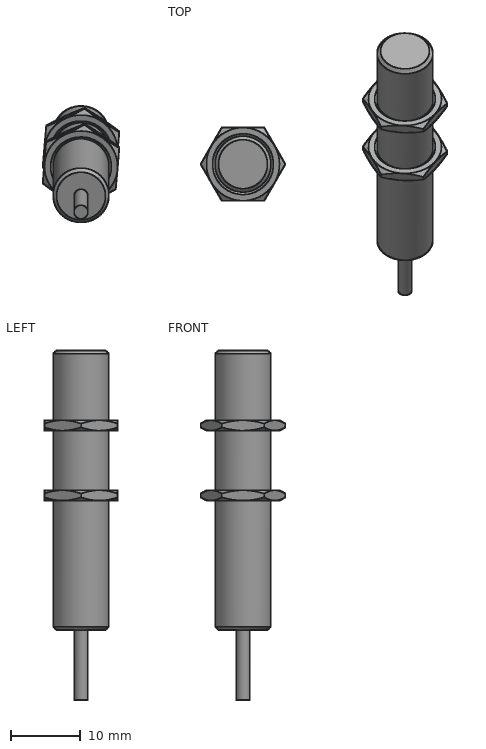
import cadquery as cq
import math

total_length = 50.0
cable_length = 10.0
cable_diameter = 2.0
barrel_diameter = 8.0
barrel_chamfer = 0.5
barrel_length = total_length - cable_length

nut_across_flats = 10.5
nut_across_corners = nut_across_flats / math.cos(math.radians(30))
nut_thickness = 1.5
nut_face_diameter = 10.45
nut_corner_angle = 30.0
bore_chamfer = 0.35
nut_spacing = 10.0
upper_nut_top = total_length - nut_spacing
nut_tops = [upper_nut_top, upper_nut_top - nut_spacing]


def make_sensor():
    """Barrel chamfered at both ends, in one piece with its cable."""
    barrel = (
        cq.Workplane("XY")
        .workplane(offset=cable_length)
        .circle(barrel_diameter / 2)
        .extrude(barrel_length)
        .faces("<Z or >Z")
        .chamfer(barrel_chamfer)
    )
    cable = cq.Workplane("XY").circle(cable_diameter / 2).extrude(cable_length)
    return barrel.union(cable)


def make_corner_envelope():
    """Double-coned disc that limits the corners of a nut."""
    face_radius = nut_face_diameter / 2
    corner_radius = nut_across_corners / 2
    corner_drop = (corner_radius - face_radius) * math.tan(math.radians(nut_corner_angle))
    return (
        cq.Workplane("XZ")
        .moveTo(0, 0)
        .lineTo(face_radius, 0)
        .lineTo(corner_radius, corner_drop)
        .lineTo(corner_radius, nut_thickness - corner_drop)
        .lineTo(face_radius, nut_thickness)
        .lineTo(0, nut_thickness)
        .close()
        .revolve(360, (0, 0, 0), (0, 1, 0))
    )


def make_nut(top):
    """Hexagonal nut with chamfered corners and a bore that fits the barrel."""
    hexagon = cq.Workplane("XY").polygon(6, nut_across_corners).extrude(nut_thickness)
    bore = cq.Workplane("XY").circle(barrel_diameter / 2).extrude(nut_thickness)
    nut = hexagon.intersect(make_corner_envelope()).cut(bore)
    bore_rims = nut.faces("<Z or >Z").edges("%CIRCLE").edges(cq.selectors.RadiusNthSelector(0))
    nut = bore_rims.chamfer(bore_chamfer)
    return nut.translate((0, 0, top - nut_thickness))


sensor = make_sensor()
nuts = [make_nut(top) for top in nut_tops]

result = cq.Compound.makeCompound([sensor.val(), *[nut.val() for nut in nuts]])